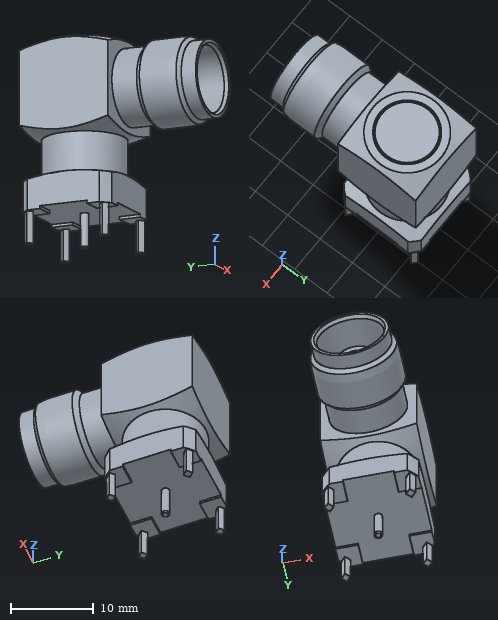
import cadquery as cq
import math

WIDTH = 12.0
HALF = WIDTH / 2
TOTAL_HEIGHT = 25.45
TOTAL_DEPTH = 23.3
JACK_MOUTH_Y = HALF - TOTAL_DEPTH

HEAD_BOTTOM_Z = TOTAL_HEIGHT - WIDTH
JACK_AXIS_Z = TOTAL_HEIGHT - HALF
TURNED_RADIUS = 5.27
HEAD_CONE_SLOPE = 0.4
CORNER_RADIUS = HALF * math.sqrt(2)

CAP_GROOVE_RADIUS = 4.05
CAP_GROOVE_DEPTH = 0.13

FOOT_TOP_Z = 8.58
FOOT_BOTTOM_Z = 4.0
FOOT_CORNER_RADIUS = 7.7
FOOT_CONE_ANGLE = 15.0
PAD_GAP = 6.34
PAD_HEIGHT = 0.35

GROUND_PIN_SIDE = 0.85
GROUND_PIN_PITCH = 10.15
CENTER_PIN_RADIUS = 0.5
CENTER_PIN_CHAMFER = 0.18

SHELL_RADIUS = 4.85
BAND_RADIUS = 5.5
BAND_LIP_RADIUS = 5.37
SHELL_NOSE = 1.93
LIP_START = 2.4
BAND_START = 3.5
BAND_END = 7.28
BAND_RAMP_END = 7.97

MOUTH_RADIUS = 4.43
BORE_FRONT_RADIUS = 4.17
MOUTH_CHAMFER_DEPTH = 0.48
BORE_FLOOR_RADIUS = 4.07
BORE_DEPTH = 8.3
INSULATOR_RADIUS = 2.05
INSULATOR_ROOT_RADIUS = 2.37
INSULATOR_FRONT = 3.1

CONTACT_SEAT_RADIUS = 1.12
CONTACT_RADIUS = 0.97
CONTACT_LEAD_RADIUS = 0.75
CONTACT_HOLE_RADIUS = 0.59
CONTACT_HOLE_DEPTH = 3.05


def turned_z(profile):
    """Solid of revolution about Z from (radius, z) points."""
    return cq.Workplane("XZ").polyline(profile).close().revolve(360, (0, 0), (0, 1))


def turned_jack(profile):
    """Solid of revolution about the jack axis from (radius, distance behind the mouth) points."""
    points = [(JACK_MOUTH_Y + depth, JACK_AXIS_Z + radius) for radius, depth in profile]
    start = (0, JACK_AXIS_Z)
    end = (1, JACK_AXIS_Z)
    return cq.Workplane("YZ").polyline(points).close().revolve(360, start, end)


def square_block(bottom, top):
    height = top - bottom
    return cq.Workplane("XY").workplane(offset=bottom).rect(WIDTH, WIDTH).extrude(height)


def head():
    drop = (CORNER_RADIUS - TURNED_RADIUS) * HEAD_CONE_SLOPE
    envelope = turned_z([
        (0, HEAD_BOTTOM_Z),
        (TURNED_RADIUS, HEAD_BOTTOM_Z),
        (CORNER_RADIUS, HEAD_BOTTOM_Z + drop),
        (CORNER_RADIUS, TOTAL_HEIGHT - drop),
        (TURNED_RADIUS, TOTAL_HEIGHT),
        (0, TOTAL_HEIGHT),
    ])
    groove = turned_z([
        (CAP_GROOVE_RADIUS - CAP_GROOVE_DEPTH, TOTAL_HEIGHT),
        (CAP_GROOVE_RADIUS, TOTAL_HEIGHT - CAP_GROOVE_DEPTH),
        (CAP_GROOVE_RADIUS + CAP_GROOVE_DEPTH, TOTAL_HEIGHT),
    ])
    return square_block(HEAD_BOTTOM_Z, TOTAL_HEIGHT).intersect(envelope).cut(groove)


def neck():
    height = HEAD_BOTTOM_Z - FOOT_TOP_Z
    return cq.Workplane("XY").workplane(offset=FOOT_TOP_Z).circle(TURNED_RADIUS).extrude(height)


def foot():
    drop = (FOOT_CORNER_RADIUS - TURNED_RADIUS) * math.tan(math.radians(FOOT_CONE_ANGLE))
    envelope = turned_z([
        (0, FOOT_BOTTOM_Z),
        (FOOT_CORNER_RADIUS, FOOT_BOTTOM_Z),
        (FOOT_CORNER_RADIUS, FOOT_TOP_Z - drop),
        (TURNED_RADIUS, FOOT_TOP_Z),
        (0, FOOT_TOP_Z),
    ])
    block = square_block(FOOT_BOTTOM_Z, FOOT_TOP_Z).intersect(envelope)
    underside = cq.Workplane("XY").workplane(offset=FOOT_BOTTOM_Z)
    gap_x = underside.rect(WIDTH, PAD_GAP).extrude(PAD_HEIGHT)
    gap_y = underside.rect(PAD_GAP, WIDTH).extrude(PAD_HEIGHT)
    return block.cut(gap_x).cut(gap_y)


def ground_pins():
    return (
        cq.Workplane("XY")
        .rect(GROUND_PIN_PITCH, GROUND_PIN_PITCH, forConstruction=True)
        .vertices()
        .polygon(4, GROUND_PIN_SIDE * math.sqrt(2))
        .extrude(FOOT_BOTTOM_Z)
    )


def center_pin():
    pin = cq.Workplane("XY").circle(CENTER_PIN_RADIUS).extrude(FOOT_BOTTOM_Z + PAD_HEIGHT)
    return pin.faces("<Z").chamfer(CENTER_PIN_CHAMFER)


def jack_shell():
    shell_length = -HALF - JACK_MOUTH_Y
    return turned_jack([
        (0, 0),
        (SHELL_RADIUS, 0),
        (SHELL_RADIUS, SHELL_NOSE),
        (BAND_LIP_RADIUS, LIP_START),
        (BAND_RADIUS, BAND_START),
        (BAND_RADIUS, BAND_END),
        (SHELL_RADIUS, BAND_RAMP_END),
        (SHELL_RADIUS, shell_length),
        (0, shell_length),
    ])


def jack_socket():
    """Space removed around the insulator, whose root flares out at 45 degrees."""
    flare_start = BORE_DEPTH - (INSULATOR_ROOT_RADIUS - INSULATOR_RADIUS)
    return turned_jack([
        (0, 0),
        (MOUTH_RADIUS, 0),
        (BORE_FRONT_RADIUS, MOUTH_CHAMFER_DEPTH),
        (BORE_FLOOR_RADIUS, BORE_DEPTH),
        (INSULATOR_ROOT_RADIUS, BORE_DEPTH),
        (INSULATOR_RADIUS, flare_start),
        (INSULATOR_RADIUS, INSULATOR_FRONT),
        (0, INSULATOR_FRONT),
    ])


def contact_hole():
    """Countersunk seat with a flat ring, then the countersunk contact hole."""
    ring_depth = INSULATOR_FRONT + CONTACT_SEAT_RADIUS - CONTACT_RADIUS
    hole_start = ring_depth + CONTACT_LEAD_RADIUS - CONTACT_HOLE_RADIUS
    hole_end = INSULATOR_FRONT + CONTACT_HOLE_DEPTH
    return turned_jack([
        (0, INSULATOR_FRONT),
        (CONTACT_SEAT_RADIUS, INSULATOR_FRONT),
        (CONTACT_RADIUS, ring_depth),
        (CONTACT_LEAD_RADIUS, ring_depth),
        (CONTACT_HOLE_RADIUS, hole_start),
        (CONTACT_HOLE_RADIUS, hole_end),
        (0, hole_end),
    ])


result = (
    head()
    .union(neck())
    .union(foot())
    .union(ground_pins())
    .union(center_pin())
    .union(jack_shell())
    .cut(jack_socket())
    .cut(contact_hole())
)